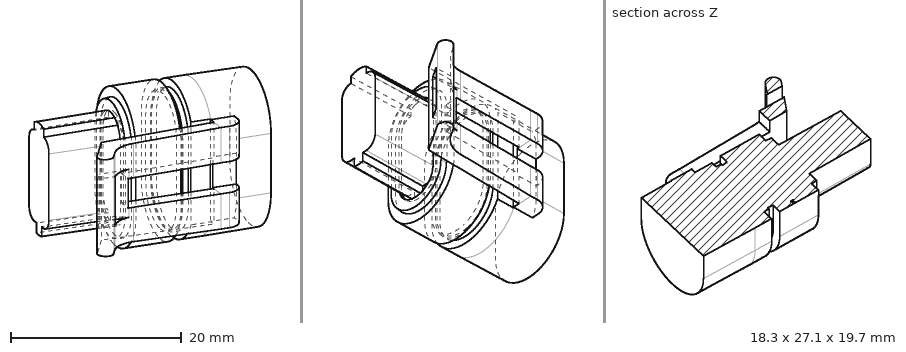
import math

import cadquery as cq


REAR_STRAIGHT = 7.42
BODY_RADIUS = 6.05
BODY_REAR_RADIUS = 5.98
SEAL_STRAIGHT = 8.25
NECK_RADIUS = 4.62
CORE_RADIUS = 4.45
CORE_SMALL_RADIUS = 4.35
SEAL_RADIUS = 5.71

DRAFT_END = 7.52
BODY_END = 10.03
NECK_END = 10.75
SEAL_START = 11.47
SEAL_END = 17.22
NOSE_END = 18.0
PLUG_END = 27.1

RECESS_RADIUS = 2.97
RECESS_DEPTH = 0.4
PLUG_TIP_RADIUS = 2.89
PLUG_TIP_HALF_HEIGHT = 5.69
TOP_KEY_WIDTH = 2.69
BOTTOM_KEY_WIDTH = 1.5
PLUG_TIP_CORNER = PLUG_TIP_RADIUS - TOP_KEY_WIDTH / 2

BRIDGE_X = 5.42
BRIDGE_ROOT_X = 3.0
BRIDGE_START = 4.5
BRIDGE_HALF_HEIGHT = 6.33
BRIDGE_CORNER = 1.95
ARM_INNER_X = 6.40
ARM_OUTER_X = 8.40
ARM_LEAN = 0.28
FINGER_END = 24.6
FINGER_END_HALF_HEIGHT = 6.03
BEND_DEPTH = 22.08
BEND_RADIUS = 3.75
FINGER_ANGLE = math.radians(30)
FINGER_THICKNESS = 1.95
LATCH_REACH = 12.22

WINDOW_X = 6.07
WINDOW_END = 19.5
WINDOW_HALF_HEIGHT = 1.94
WINDOW_END_HALF_HEIGHT = 1.83
SLOT_X_MIN = 8.69
SLOT_X_MAX = 10.20
SLOT_HALF_HEIGHT = 3.0


def section(depth):
    """Workplane across the part, facing the front, with local axes X and Z."""
    return cq.Workplane("XZ", origin=(0, -depth, 0))


def draft(start_half, end_half, length):
    return math.degrees(math.atan2(start_half - end_half, length))


def stadium(start, end, straight, start_radius, end_radius):
    """Stadium prism between two depths, drafted from one radius to the other."""
    length = end - start
    outline = section(start).slot2D(straight + 2 * start_radius, 2 * start_radius, 90)
    if start_radius == end_radius:
        return outline.extrude(length)
    return outline.extrude(length, taper=draft(start_radius, end_radius, length))


def box_between(x_range, depth_range, z_range):
    size_x = x_range[1] - x_range[0]
    size_y = depth_range[1] - depth_range[0]
    size_z = z_range[1] - z_range[0]
    corner = (x_range[0], -depth_range[1], z_range[0])
    return cq.Workplane("XY").box(size_x, size_y, size_z, centered=False).translate(corner)


def make_body():
    rear = (
        cq.Workplane("ZX", origin=(0, -DRAFT_END, 0))
        .slot2D(REAR_STRAIGHT + 2 * BODY_RADIUS, 2 * BODY_RADIUS)
        .extrude(DRAFT_END, taper=draft(BODY_RADIUS, BODY_REAR_RADIUS, DRAFT_END))
    )
    front = stadium(DRAFT_END, BODY_END, REAR_STRAIGHT, BODY_RADIUS, BODY_RADIUS)
    body_half_height = REAR_STRAIGHT / 2 + BODY_RADIUS
    beside_arm = box_between(
        (BRIDGE_X, ARM_OUTER_X), (DRAFT_END, BODY_END), (-body_half_height, body_half_height)
    )
    return rear.union(front.cut(beside_arm))


def make_seal_end():
    neck = stadium(BODY_END, NECK_END, SEAL_STRAIGHT, NECK_RADIUS, NECK_RADIUS)
    groove = stadium(NECK_END, SEAL_START, SEAL_STRAIGHT, CORE_SMALL_RADIUS, CORE_RADIUS)
    seal = stadium(SEAL_START, SEAL_END, SEAL_STRAIGHT, SEAL_RADIUS, SEAL_RADIUS)
    nose = stadium(SEAL_END, NOSE_END, SEAL_STRAIGHT, CORE_RADIUS, CORE_SMALL_RADIUS)
    recess = stadium(
        NOSE_END - RECESS_DEPTH, NOSE_END, SEAL_STRAIGHT, RECESS_RADIUS, RECESS_RADIUS
    )
    return neck.union(groove).union(seal).union(nose.cut(recess))


def make_plug():
    """Rounded block with one key on top and a narrower one below."""
    start = NOSE_END - RECESS_DEPTH
    length = PLUG_END - start
    side_draft = RECESS_RADIUS - PLUG_TIP_RADIUS
    block = (
        section(start)
        .sketch()
        .rect(2 * RECESS_RADIUS, 2 * (PLUG_TIP_HALF_HEIGHT + side_draft))
        .vertices()
        .fillet(PLUG_TIP_CORNER + side_draft)
        .finalize()
        .extrude(length, taper=draft(RECESS_RADIUS, PLUG_TIP_RADIUS, length))
    )
    key_reach = SEAL_STRAIGHT / 2 + RECESS_RADIUS
    top_half = TOP_KEY_WIDTH / 2
    bottom_half = BOTTOM_KEY_WIDTH / 2
    top_key = box_between((-top_half, top_half), (start, PLUG_END), (0, key_reach))
    bottom_key = box_between((-bottom_half, bottom_half), (start, PLUG_END), (-key_reach, 0))
    envelope = stadium(start, PLUG_END, SEAL_STRAIGHT, RECESS_RADIUS, PLUG_TIP_RADIUS)
    return block.union(top_key.union(bottom_key).intersect(envelope))


def latch_outline():
    """Bridge, arm and round-ended finger, with the bridge and bend corners rounded."""
    along = (math.cos(FINGER_ANGLE), -math.sin(FINGER_ANGLE))
    across = (math.sin(FINGER_ANGLE), math.cos(FINGER_ANGLE))
    tip_radius = FINGER_THICKNESS / 2

    bend_inner = (ARM_INNER_X + ARM_LEAN, -BEND_DEPTH)
    tip_center_x = LATCH_REACH - tip_radius
    finger_length = (tip_center_x - bend_inner[0] - tip_radius * across[0]) / along[0]
    tip_inner = (
        bend_inner[0] + finger_length * along[0],
        bend_inner[1] + finger_length * along[1],
    )
    tip_outer = (
        tip_inner[0] + FINGER_THICKNESS * across[0],
        tip_inner[1] + FINGER_THICKNESS * across[1],
    )
    tip_end = (
        tip_inner[0] + tip_radius * (across[0] + along[0]),
        tip_inner[1] + tip_radius * (across[1] + along[1]),
    )
    bend_outer_x = ARM_OUTER_X + ARM_LEAN
    bend_outer = (
        bend_outer_x,
        tip_outer[1] + (tip_outer[0] - bend_outer_x) * math.tan(FINGER_ANGLE),
    )
    bridge_corner = (ARM_OUTER_X, -BRIDGE_START)

    latch = (
        cq.Workplane("XY", origin=(0, 0, -BRIDGE_HALF_HEIGHT))
        .moveTo(BRIDGE_ROOT_X, -BRIDGE_START)
        .lineTo(*bridge_corner)
        .lineTo(ARM_OUTER_X, -DRAFT_END)
        .lineTo(*bend_outer)
        .lineTo(*tip_outer)
        .threePointArc(tip_end, tip_inner)
        .lineTo(*bend_inner)
        .lineTo(ARM_INNER_X, -DRAFT_END)
        .lineTo(BRIDGE_ROOT_X, -DRAFT_END)
        .close()
        .extrude(2 * BRIDGE_HALF_HEIGHT)
    )
    for corner, radius in ((bridge_corner, BRIDGE_CORNER), (bend_outer, BEND_RADIUS)):
        nearest = cq.selectors.NearestToPointSelector((*corner, 0))
        latch = latch.edges("|Z").edges(nearest).fillet(radius)
    return latch


def tapered_strip(x_min, bridge_half, end, end_half):
    """Strip from x_min outward, level along the bridge and narrowing in Z from there to its end."""
    return (
        cq.Workplane("YZ", origin=(x_min, 0, 0))
        .moveTo(0, -bridge_half)
        .lineTo(0, bridge_half)
        .lineTo(-DRAFT_END, bridge_half)
        .lineTo(-end, end_half)
        .lineTo(-end, -end_half)
        .lineTo(-DRAFT_END, -bridge_half)
        .close()
        .extrude(LATCH_REACH - x_min)
    )


def make_latch():
    envelope = tapered_strip(
        BRIDGE_ROOT_X, BRIDGE_HALF_HEIGHT, FINGER_END, FINGER_END_HALF_HEIGHT
    )
    window = tapered_strip(WINDOW_X, WINDOW_HALF_HEIGHT, WINDOW_END, WINDOW_END_HALF_HEIGHT)
    finger_slot = box_between(
        (SLOT_X_MIN, SLOT_X_MAX), (DRAFT_END, FINGER_END), (-SLOT_HALF_HEIGHT, SLOT_HALF_HEIGHT)
    )
    return latch_outline().intersect(envelope).cut(window).cut(finger_slot)


result = make_body().union(make_seal_end()).union(make_plug()).union(make_latch())